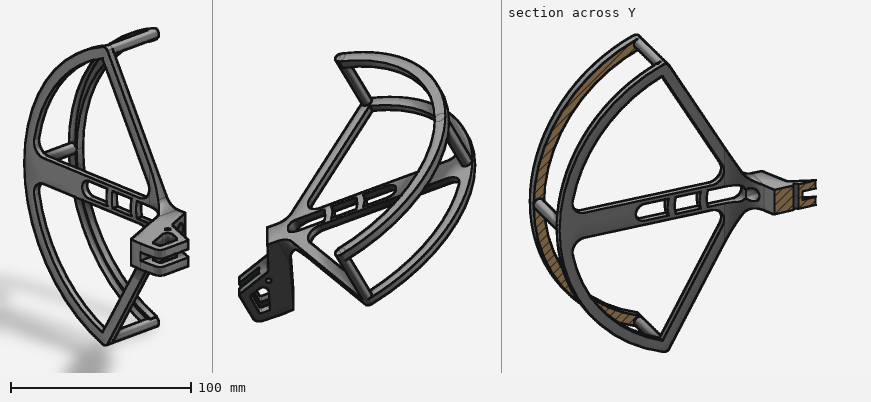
import cadquery as cq
import math

TILT = 1.5

RING_RADIUS = 95.05
RING_WIDTH = 6.5
LOWER_THICKNESS = 4.0
UPPER_THICKNESS = 5.0
RING_GAP = 30.0
CORNER_POST_RADIUS = 3.0
MIDDLE_POST_RADIUS = RING_WIDTH / 2

SPOKE_ANGLE = 60.0
SPOKE_OFFSET = 20.0
SPOKE_WIDTH = 6.5
SPINE_WIDTH = 15.6
OPENING_CORNER_RADIUS = 7.5
NECK_RADIUS = 10.0

SLOT_WIDTH = 10.4
SLOT_START = -48.3
SLOT_END = 18.0
RIB_WIDTH = 4.4
RIB_CENTERS = (-26.7, -7.1)
RIB_EDGE_RADIUS = 20.0

CLAMP_SLOT_WIDTH = 5.0
CLAMP_SLOT_LENGTH = 15.0

ARM_LEAN = 68.0
ARM_TOP_X = 30.6
ARM_END_X = 59.95
ELBOW = (38.0, -13.3)
TIP = (ARM_END_X, -21.3)
HEEL = (ARM_END_X, -43.4)
CREASE = (ARM_END_X - CLAMP_SLOT_LENGTH, -44.0)
TOE = (36.9, -43.7)
ARM_FOOT_RADIUS = 20.0
ELBOW_RADIUS = 3.0
HEEL_RADIUS = 4.0
TIP_RADIUS = 1.0

WINDOW_WALL = 5.0
WINDOW_FRONT_WALL = 13.0
WINDOW_LOWER_RADIUS = 0.8
WINDOW_UPPER_RADIUS = 3.0
PIN_HOLE_DIAMETER = 3.0
PIN_HOLE_CENTER = (40.7, -19.2)

NECK_HOLE_DIAMETER = 8.0
NECK_HOLE_POINT = (21.4, -5.75)
NECK_HOLE_RISE = 14.5
NECK_HOLE_REACH = 20.0

UPPER_START = LOWER_THICKNESS + RING_GAP
GUARD_HEIGHT = UPPER_START + UPPER_THICKNESS
ARM_BOTTOM = CREASE[1]
FAR = 2 * RING_RADIUS
COS_SPOKE = math.cos(math.radians(SPOKE_ANGLE))
SIN_SPOKE = math.sin(math.radians(SPOKE_ANGLE))
SIN_LEAN = math.sin(math.radians(ARM_LEAN))
TAN_LEAN = math.tan(math.radians(ARM_LEAN))


def disc(radius, start, end, x=0, z=0):
    """Round plate between two Y levels."""
    return cq.Workplane("XZ", origin=(x, end, z)).circle(radius).extrude(end - start)


def plate(points, start, end):
    """Plate between two Y levels with straight sides through the given X-Z points."""
    return cq.Workplane("XZ", origin=(0, end, 0)).polyline(points).close().extrude(end - start)


def spoke_wedge(offset, start, end):
    """Area between two spoke lines that pass the propeller axis at the given distance."""
    apex_x = offset / SIN_SPOKE
    back_x = apex_x - FAR * COS_SPOKE
    back_z = FAR * SIN_SPOKE
    points = [(apex_x, 0), (back_x, back_z), (-FAR, back_z), (-FAR, -back_z), (back_x, -back_z)]
    return plate(points, start, end)


def spine_bar(x_start, x_end, start, end):
    """Straight bar along X as wide as the spine."""
    half = SPINE_WIDTH / 2
    return plate([(x_start, -half), (x_end, -half), (x_end, half), (x_start, half)], start, end)


def frame_openings(start, end):
    """The two areas enclosed by ring, spokes and spine."""
    area = disc(RING_RADIUS - RING_WIDTH, start, end)
    area = area.intersect(spoke_wedge(SPOKE_OFFSET - SPOKE_WIDTH, start, end))
    area = area.cut(spine_bar(-FAR, FAR, start, end))
    near_spine = cq.selectors.BoxSelector((-FAR, -FAR, -SPINE_WIDTH), (FAR, FAR, SPINE_WIDTH))
    return area.edges("|Y").edges(near_spine).fillet(OPENING_CORNER_RADIUS)


def frame_outline(start, end):
    """Sector with rounded tips, joined to the arm by filleted necks."""
    body = disc(RING_RADIUS, start, end).intersect(spoke_wedge(SPOKE_OFFSET, start, end))
    body = body.edges("|Y").edges("<Z or >Z").fillet(CORNER_POST_RADIUS)
    body = body.union(spine_bar(0, ARM_END_X, start, end))
    neck_x = (SPOKE_OFFSET - SPINE_WIDTH / 2 * COS_SPOKE) / SIN_SPOKE
    for neck_z in (-SPINE_WIDTH / 2, SPINE_WIDTH / 2):
        corner = cq.selectors.NearestToPointSelector((neck_x, (start + end) / 2, neck_z))
        body = body.edges("|Y").edges(corner).fillet(NECK_RADIUS)
    return body


def arm_profile():
    """X-Y profile of the frame plate and the arm, extruded past the tips in Z."""
    foot = (TOE[0] + TOE[1] / TAN_LEAN, 0)
    frame_front = (-RING_RADIUS, 0)
    frame_back = (-RING_RADIUS, LOWER_THICKNESS)
    arm_top = (ARM_TOP_X, LOWER_THICKNESS)
    points = [frame_front, foot, TOE, CREASE, HEEL, TIP, ELBOW, arm_top, frame_back]
    body = cq.Workplane("XY").polyline(points).close().extrude(RING_RADIUS, both=True)
    rounded_corners = (
        (foot, ARM_FOOT_RADIUS),
        (ELBOW, ELBOW_RADIUS),
        (HEEL, HEEL_RADIUS),
        (TIP, TIP_RADIUS),
    )
    for corner, radius in rounded_corners:
        body = body.edges(cq.selectors.NearestToPointSelector((*corner, 0))).fillet(radius)
    return body


def lower_frame():
    """Frame and arm: the X-Z outline and the X-Y profile intersected."""
    body = frame_outline(ARM_BOTTOM, LOWER_THICKNESS)
    body = body.cut(frame_openings(ARM_BOTTOM, LOWER_THICKNESS))
    return body.intersect(arm_profile())


def corner_post_center():
    """X and Z of the upper corner post, tangent to the ring and to the outer spoke edge."""
    reach = RING_RADIUS - CORNER_POST_RADIUS
    inset = SPOKE_OFFSET - CORNER_POST_RADIUS
    along = math.sqrt(reach**2 - inset**2)
    return inset * SIN_SPOKE - along * COS_SPOKE, inset * COS_SPOKE + along * SIN_SPOKE


def upper_ring():
    """Ring arc that ends radially on the axes of the two corner posts."""
    post_x, post_z = corner_post_center()
    end_x = post_x * FAR / RING_RADIUS
    end_z = post_z * FAR / RING_RADIUS
    points = [(0, 0), (end_x, end_z), (-FAR, FAR), (-FAR, -FAR), (end_x, -end_z)]
    ring = disc(RING_RADIUS, UPPER_START, GUARD_HEIGHT)
    ring = ring.cut(disc(RING_RADIUS - RING_WIDTH, UPPER_START, GUARD_HEIGHT))
    return ring.intersect(plate(points, UPPER_START, GUARD_HEIGHT))


def posts():
    """Middle and corner posts joining the rings, all tangent to the outer ring edge."""
    post_x, post_z = corner_post_center()
    body = disc(MIDDLE_POST_RADIUS, 0, GUARD_HEIGHT, MIDDLE_POST_RADIUS - RING_RADIUS)
    for side in (-1, 1):
        body = body.union(disc(CORNER_POST_RADIUS, 0, GUARD_HEIGHT, post_x, side * post_z))
    return body


def rib(center_x):
    """Rib whose two side faces bow the same way, towards the ring."""
    arc_x = center_x - RIB_WIDTH / 2 + RIB_EDGE_RADIUS
    body = disc(RIB_EDGE_RADIUS, ARM_BOTTOM, LOWER_THICKNESS, arc_x)
    return body.cut(disc(RIB_EDGE_RADIUS, ARM_BOTTOM, LOWER_THICKNESS, arc_x + RIB_WIDTH))


def spine_slot():
    """Round-ended slot through the spine, interrupted by the ribs."""
    middle_x = (SLOT_START + SLOT_END) / 2
    plane = cq.Workplane("XZ", origin=(middle_x, LOWER_THICKNESS, 0))
    slot = plane.slot2D(SLOT_END - SLOT_START, SLOT_WIDTH).extrude(LOWER_THICKNESS - ARM_BOTTOM)
    for center_x in RIB_CENTERS:
        slot = slot.cut(rib(center_x))
    return slot


def clamp_window():
    """Four-sided window with walls parallel to the arm's outer faces."""
    slope = (ELBOW[1] - TIP[1]) / (TIP[0] - ELBOW[0])
    right = ARM_END_X - WINDOW_WALL
    bottom = HEEL[1] + WINDOW_WALL
    left = TOE[0] + WINDOW_FRONT_WALL / SIN_LEAN - WINDOW_WALL / TAN_LEAN
    top_right = TIP[1] + WINDOW_WALL * slope - WINDOW_WALL * math.hypot(1, slope)
    rise = (top_right - bottom + (right - left) * slope) / (1 - slope / TAN_LEAN)
    top_left = (left - rise / TAN_LEAN, bottom + rise)
    points = [(left, bottom), (right, bottom), (right, top_right), top_left]
    body = cq.Workplane("XY").polyline(points).close().extrude(SPINE_WIDTH, both=True)
    body = body.edges("|Z").edges("<Y").fillet(WINDOW_LOWER_RADIUS)
    upper = cq.selectors.BoxSelector((0, top_right - TIP_RADIUS, -FAR), (FAR, FAR, FAR))
    return body.edges("|Z").edges(upper).fillet(WINDOW_UPPER_RADIUS)


def clamp_slot():
    """Slot that splits the end of the clamp into two ears."""
    start_x = ARM_END_X - CLAMP_SLOT_LENGTH
    half = CLAMP_SLOT_WIDTH / 2
    points = [(start_x, -half), (FAR, -half), (FAR, half), (start_x, half)]
    return plate(points, ARM_BOTTOM, 0)


def pin_hole():
    plane = cq.Workplane("XY").center(*PIN_HOLE_CENTER)
    return plane.circle(PIN_HOLE_DIAMETER / 2).extrude(SPINE_WIDTH, both=True)


def neck_hole():
    """Hole from the frame side of the neck to the back of the arm."""
    rise = math.radians(NECK_HOLE_RISE)
    direction = (math.cos(rise), math.sin(rise), 0)
    start = cq.Vector(*NECK_HOLE_POINT, 0) - cq.Vector(*direction) * NECK_HOLE_REACH
    plane = cq.Plane(origin=start.toTuple(), xDir=(0, 0, 1), normal=direction)
    return cq.Workplane(plane).circle(NECK_HOLE_DIAMETER / 2).extrude(2 * NECK_HOLE_REACH)


guard = lower_frame().union(upper_ring()).union(posts())
for cutter in (spine_slot(), clamp_slot(), clamp_window(), pin_hole(), neck_hole()):
    guard = guard.cut(cutter)
result = guard.rotate((0, 0, 0), (0, 0, 1), -TILT)